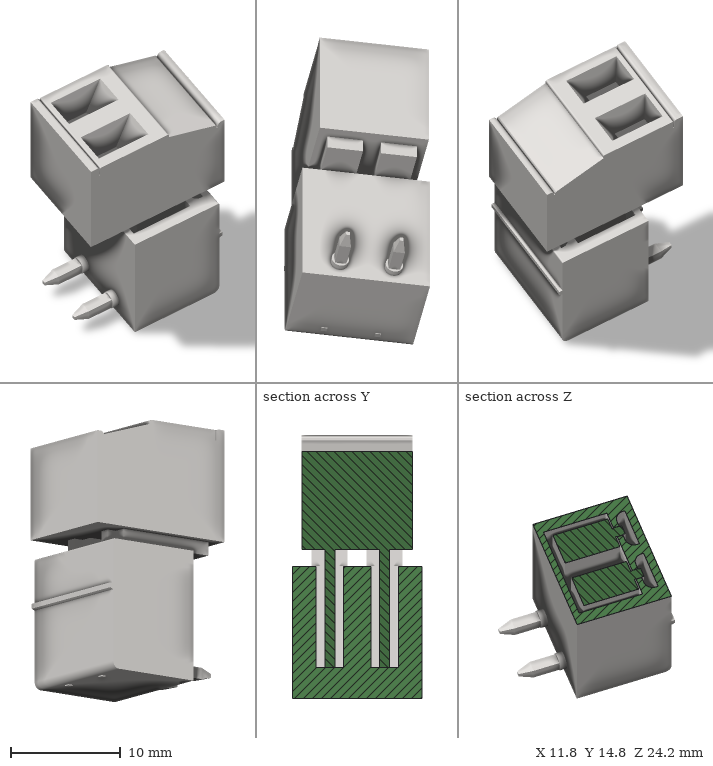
import cadquery as cq


POLE_PITCH = 5.0
POLE_CENTRES = [-POLE_PITCH / 2, POLE_PITCH / 2]

HEADER_WIDTH = 11.83
HEADER_DEPTH = 9.2
HEADER_HEIGHT = 12.12
HEEL_RADIUS = 0.65
BROW_RADIUS = 0.15

RIDGE_HEIGHT = 0.35
RIDGE_TOP = 7.95
RIDGE_LOWER_EDGE = 7.48
RIDGE_ROOT = 7.35

PAD_WIDTH = 0.53
PAD_DEPTH = 0.43
PAD_HEIGHT = 0.1
PAD_Y = 7.9

PIN_Z = 1.57
COLLAR_DIAMETER = 1.62
COLLAR_LENGTH = 0.65
PIN_SIDE = 1.06
PIN_TIP_SIDE = 0.36
PIN_TIP_START = 3.15
PIN_REACH = 4.47

CAVITY_WIDTH = 9.46
CAVITY_FRONT = 0.65
CAVITY_FLOOR = 2.9
LEAD_IN_RUN = 0.15
LEAD_IN_DROP = 0.55

CODING_SLOT_WIDTH = 3.85
CODING_SLOT_BACK = 8.4
CODING_SLOT_FRONT = 7.36
CODING_SLOT_RADIUS = 0.85

STEM_WIDTH = 3.3
STEM_FRONT = 1.3
STEM_BACK = 6.66
KEY_WIDTH = 0.97
KEY_BACK = 7.6
FOOT_FRONT = -3.07
FOOT_BOTTOM = 12.35

PLUG_WIDTH = 10.11
PLUG_FRONT = -4.22
PLUG_BACK = 10.33
PLUG_BOTTOM = 13.61
PLUG_TOP = 24.05

FRONT_LIP_WIDTH = 0.92
FRONT_LIP_RADIUS = 0.27
FRONT_SLIT_WIDTH = 0.1
FRONT_SLIT_FLOOR = 22.95

DECK_Z = 23.95
DECK_FRONT_RADIUS = 0.12
DECK_BACK = 4.27
DECK_BACK_RADIUS = 0.17

ROOF_TOP_Z = 23.55
ROOF_LOW_Z = 22.0
ROOF_BREAK = 0.12
BACK_LIP_TOP = 22.18
BACK_LIP_WIDTH = 0.77
BACK_LIP_RADIUS = 0.45
BACK_SLIT_WIDTH = 0.1
BACK_SLIT_FLOOR = 21.63

FUNNEL_WIDTH = 3.05
FUNNEL_FRONT = -2.68
FUNNEL_BACK = 2.7
FUNNEL_FLOOR_WIDTH = 2.08
FUNNEL_FLOOR_FRONT = -2.32
FUNNEL_FLOOR_BACK = 0.87
FUNNEL_DEPTH = 3.07


def block(x_centre, width, y_front, y_back, z_bottom, z_top):
    """Box centred on x_centre and spanning the given Y and Z limits."""
    return (
        cq.Workplane("XY", origin=(x_centre, (y_front + y_back) / 2, z_bottom))
        .box(width, y_back - y_front, z_top - z_bottom, centered=(True, True, False))
    )


def side_sketch(width):
    """Workplane with local axes (Y, Z), set so that extruding by width is centred on X = 0."""
    return cq.Workplane("YZ", origin=(-width / 2, 0, 0))



def header_housing():
    outline = (
        side_sketch(HEADER_WIDTH)
        .lineTo(HEADER_DEPTH - HEEL_RADIUS, 0)
        .radiusArc((HEADER_DEPTH, HEEL_RADIUS), -HEEL_RADIUS)
        .lineTo(HEADER_DEPTH, HEADER_HEIGHT - BROW_RADIUS)
        .radiusArc((HEADER_DEPTH - BROW_RADIUS, HEADER_HEIGHT), -BROW_RADIUS)
        .lineTo(0, HEADER_HEIGHT)
        .close()
    )
    return outline.extrude(HEADER_WIDTH)


def latching_ridge():
    ridge_back = HEADER_DEPTH + RIDGE_HEIGHT
    profile = [
        (HEADER_DEPTH, RIDGE_ROOT),
        (ridge_back, RIDGE_LOWER_EDGE),
        (ridge_back, RIDGE_TOP),
        (HEADER_DEPTH, RIDGE_TOP),
    ]
    return side_sketch(HEADER_WIDTH).polyline(profile).close().extrude(HEADER_WIDTH)


def solder_pin(x):
    """Round collar, square shank and tapered tip, pointing to -Y."""
    def section(distance):
        return cq.Workplane("XZ", origin=(x, -distance, PIN_Z))

    collar = section(0).circle(COLLAR_DIAMETER / 2).extrude(COLLAR_LENGTH)
    shank = section(0).rect(PIN_SIDE, PIN_SIDE).extrude(PIN_TIP_START)
    tip = (
        section(PIN_TIP_START)
        .rect(PIN_SIDE, PIN_SIDE)
        .workplane(offset=PIN_REACH - PIN_TIP_START)
        .rect(PIN_TIP_SIDE, PIN_TIP_SIDE)
        .loft()
    )
    return collar.union(shank).union(tip)


def bottom_pad(x):
    return block(x, PAD_WIDTH, PAD_Y - PAD_DEPTH / 2, PAD_Y + PAD_DEPTH / 2, -PAD_HEIGHT, 0)


def header_cavity():
    """Space for both stems, with a sloped lead-in at the top of its back wall."""
    profile = [
        (CAVITY_FRONT, CAVITY_FLOOR),
        (STEM_BACK, CAVITY_FLOOR),
        (STEM_BACK, HEADER_HEIGHT - LEAD_IN_DROP),
        (STEM_BACK + LEAD_IN_RUN, HEADER_HEIGHT),
        (CAVITY_FRONT, HEADER_HEIGHT),
    ]
    return side_sketch(CAVITY_WIDTH).polyline(profile).close().extrude(CAVITY_WIDTH)


def key_slot(x):
    return block(x, KEY_WIDTH, STEM_BACK, KEY_BACK, CAVITY_FLOOR, HEADER_HEIGHT)


def coding_slot(x):
    slot = block(
        x, CODING_SLOT_WIDTH, CODING_SLOT_FRONT, CODING_SLOT_BACK, CAVITY_FLOOR, HEADER_HEIGHT
    )
    return slot.edges("|Z and <Y").fillet(CODING_SLOT_RADIUS)


def make_header():
    body = header_housing().union(latching_ridge()).cut(header_cavity())
    for x in POLE_CENTRES:
        body = body.cut(coding_slot(x)).cut(key_slot(x))
        body = body.union(solder_pin(x)).union(bottom_pad(x))
    return body



def plug_housing():
    """Side outline with the lips, slits, deck and sloping roof, run across the plug width."""
    front_slit_front = PLUG_FRONT + FRONT_LIP_WIDTH
    front_slit_back = front_slit_front + FRONT_SLIT_WIDTH
    back_slit_back = PLUG_BACK - BACK_LIP_WIDTH
    back_slit_front = back_slit_back - BACK_SLIT_WIDTH
    roof_end = back_slit_front - ROOF_BREAK
    break_bottom = ROOF_LOW_Z - ROOF_BREAK
    outline = (
        side_sketch(PLUG_WIDTH)
        .moveTo(PLUG_FRONT, PLUG_BOTTOM)
        .lineTo(PLUG_FRONT, PLUG_TOP)
        .lineTo(front_slit_front - FRONT_LIP_RADIUS, PLUG_TOP)
        .radiusArc((front_slit_front, PLUG_TOP - FRONT_LIP_RADIUS), FRONT_LIP_RADIUS)
        .lineTo(front_slit_front, FRONT_SLIT_FLOOR)
        .lineTo(front_slit_back, FRONT_SLIT_FLOOR)
        .lineTo(front_slit_back, DECK_Z - DECK_FRONT_RADIUS)
        .radiusArc((front_slit_back + DECK_FRONT_RADIUS, DECK_Z), DECK_FRONT_RADIUS)
        .lineTo(DECK_BACK - DECK_BACK_RADIUS, DECK_Z)
        .radiusArc((DECK_BACK, DECK_Z - DECK_BACK_RADIUS), DECK_BACK_RADIUS)
        .lineTo(DECK_BACK, ROOF_TOP_Z)
        .lineTo(roof_end, ROOF_LOW_Z)
        .lineTo(back_slit_front, break_bottom)
        .lineTo(back_slit_front, BACK_SLIT_FLOOR)
        .lineTo(back_slit_back, BACK_SLIT_FLOOR)
        .lineTo(back_slit_back, BACK_LIP_TOP - BACK_LIP_RADIUS)
        .radiusArc((back_slit_back + BACK_LIP_RADIUS, BACK_LIP_TOP), BACK_LIP_RADIUS)
        .lineTo(PLUG_BACK, BACK_LIP_TOP)
        .lineTo(PLUG_BACK, PLUG_BOTTOM)
        .close()
    )
    return outline.extrude(PLUG_WIDTH)


def wire_funnel(x):
    """Tapered pocket that narrows downwards, mostly on its back side."""
    floor_shift = (FUNNEL_FLOOR_FRONT + FUNNEL_FLOOR_BACK - FUNNEL_FRONT - FUNNEL_BACK) / 2
    return (
        cq.Workplane("XY", origin=(x, (FUNNEL_FRONT + FUNNEL_BACK) / 2, DECK_Z))
        .rect(FUNNEL_WIDTH, FUNNEL_BACK - FUNNEL_FRONT)
        .workplane(offset=-FUNNEL_DEPTH)
        .center(0, floor_shift)
        .rect(FUNNEL_FLOOR_WIDTH, FUNNEL_FLOOR_BACK - FUNNEL_FLOOR_FRONT)
        .loft(ruled=True)
    )


def plug_stem(x):
    """Stem standing on the cavity floor, with a key rib behind it and a foot ahead of it."""
    stem = block(x, STEM_WIDTH, STEM_FRONT, STEM_BACK, CAVITY_FLOOR, PLUG_BOTTOM)
    key = block(x, KEY_WIDTH, STEM_BACK, KEY_BACK, CAVITY_FLOOR, PLUG_BOTTOM)
    foot = block(x, STEM_WIDTH, FOOT_FRONT, STEM_FRONT, FOOT_BOTTOM, PLUG_BOTTOM)
    return stem.union(key).union(foot)


def make_plug():
    body = plug_housing()
    for x in POLE_CENTRES:
        body = body.cut(wire_funnel(x)).union(plug_stem(x))
    return body


header = make_header()
plug = make_plug()
result = cq.Compound.makeCompound([header.solids().val(), plug.solids().val()])